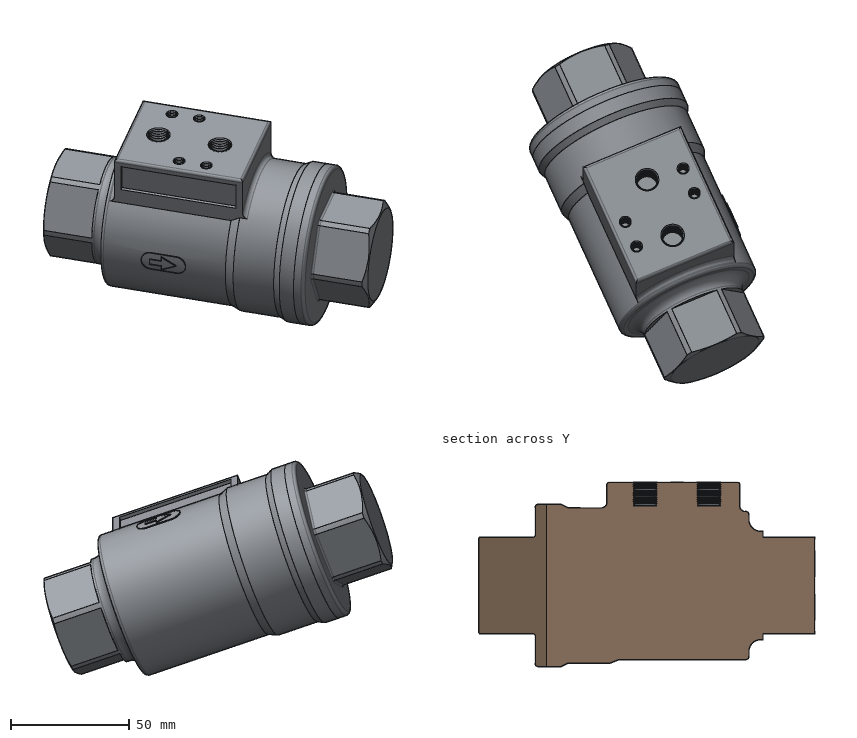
import cadquery as cq
import math

TOTAL_LENGTH = 142.5

HEX_ACROSS_FLATS = 41.0
HEX_CORNER_DIAMETER = 46.0
HEX_CORNER_RADIUS = HEX_CORNER_DIAMETER / 2
INLET_HEX_LENGTH = 22.0
INLET_CHAMFER_LENGTH = 0.9
INLET_END_RADIUS = 20.4
OUTLET_CHAMFER_LENGTH = 1.7
OUTLET_END_RADIUS = 20.0
OUTLET_HEX_FILLET = 0.9

BARREL_RADIUS = 31.5
MIDDLE_RADIUS = 33.0
COLLAR_RADIUS = 34.5
NECK_END_X = 23.0
NECK_FILLET = 5.0
SHOULDER_X = NECK_END_X + NECK_FILLET
EDGE_ROUND = 1.4
BARREL_END_X = 83.1
MIDDLE_START_X = 86.9
MIDDLE_END_X = 104.7
COLLAR_START_X = 107.6
COVER_SEAT_X = 113.9
COVER_FACE_X = 118.5

BLOCK_START_X = 31.8
BLOCK_LENGTH = 56.5
BLOCK_END_X = BLOCK_START_X + BLOCK_LENGTH
BLOCK_CENTER_X = BLOCK_START_X + BLOCK_LENGTH / 2
BLOCK_WIDTH = 45.2
BLOCK_TOP_Z = 43.7
BLOCK_TOP_ROUND = 1.1
BLOCK_ROOT_FILLET = 2.0

LABEL_LENGTH = 50.5
LABEL_HEIGHT = 12.0
LABEL_TOP_GAP = 3.0
LABEL_DEPTH = 1.5

PATTERN_CENTER_X = 58.4
PORT_SPACING = 27.1
PORT_MAJOR_DIAMETER = 10.0
PORT_MINOR_DIAMETER = 8.8
PORT_PITCH = 0.91
PORT_TURNS = 11
SCREW_SPACING = 12.0
SCREW_ROW_Y = 16.0
SCREW_MAJOR_DIAMETER = 5.0
SCREW_MINOR_DIAMETER = 4.0
SCREW_PITCH = 0.8
SCREW_TURNS = 10

PAD_CENTER_X = 55.9
PAD_CENTER_Z = 0.7
PAD_LENGTH = 19.5
PAD_HEIGHT = 8.3
RELIEF_STEP = 0.4
ARROW_START_X = 49.9
ARROW_NECK_X = 55.0
ARROW_TIP_X = 61.5
ARROW_SHAFT_HALF = 1.3
ARROW_HEAD_HALF = 3.3


def turn(profile):
    """Revolve a closed profile, drawn as (X, radius), about the X axis."""
    return profile.close().revolve(360, (0, 0, 0), (1, 0, 0))


def hexagon(start_x, end_x):
    """Hexagonal bar along X with flats on top and bottom and turned-down corners."""
    length = end_x - start_x
    across_corners = HEX_ACROSS_FLATS / math.cos(math.radians(30))
    start = (start_x, 0, 0)
    bar = cq.Workplane("YZ", origin=start).polygon(6, across_corners).extrude(length)
    corner_cylinder = cq.Workplane("YZ", origin=start).circle(HEX_CORNER_RADIUS).extrude(length)
    return bar.intersect(corner_cylinder)


def end_cone(end_x, inward, chamfer_length, end_radius):
    """Envelope that chamfers the hexagon end at end_x; inward is +1 or -1 along X."""
    chamfer_x = end_x + inward * chamfer_length
    far_x = end_x + inward * TOTAL_LENGTH / 2
    envelope_radius = 2 * HEX_CORNER_RADIUS
    slope = (HEX_CORNER_RADIUS - end_radius) / chamfer_length
    cone_x = chamfer_x + inward * (envelope_radius - HEX_CORNER_RADIUS) / slope
    return turn(
        cq.Workplane("XY")
        .moveTo(end_x, 0)
        .lineTo(end_x, end_radius)
        .lineTo(cone_x, envelope_radius)
        .lineTo(far_x, envelope_radius)
        .lineTo(far_x, 0)
    )


def turned_body():
    """Round body from the neck behind the inlet hexagon to the cover seat."""
    arc_45 = math.sqrt(0.5)
    neck_mid = (
        NECK_END_X + NECK_FILLET * arc_45,
        HEX_CORNER_RADIUS + NECK_FILLET * (1 - arc_45),
    )
    shoulder_mid = (
        SHOULDER_X + EDGE_ROUND * (1 - arc_45),
        BARREL_RADIUS - EDGE_ROUND * (1 - arc_45),
    )
    return turn(
        cq.Workplane("XY")
        .moveTo(INLET_HEX_LENGTH, 0)
        .lineTo(INLET_HEX_LENGTH, HEX_CORNER_RADIUS)
        .lineTo(NECK_END_X, HEX_CORNER_RADIUS)
        .threePointArc(neck_mid, (SHOULDER_X, HEX_CORNER_RADIUS + NECK_FILLET))
        .lineTo(SHOULDER_X, BARREL_RADIUS - EDGE_ROUND)
        .threePointArc(shoulder_mid, (SHOULDER_X + EDGE_ROUND, BARREL_RADIUS))
        .lineTo(BARREL_END_X, BARREL_RADIUS)
        .lineTo(MIDDLE_START_X, MIDDLE_RADIUS)
        .lineTo(MIDDLE_END_X, MIDDLE_RADIUS)
        .lineTo(COLLAR_START_X, COLLAR_RADIUS)
        .lineTo(COVER_SEAT_X, COLLAR_RADIUS)
        .lineTo(COVER_SEAT_X, 0)
    )


def root_fillet(wall_x, outward, surface_radius):
    """Concave ring fillet between a block end wall and the round surface below it."""
    r = BLOCK_ROOT_FILLET
    arc_offset = r * (1 - math.sqrt(0.5))
    foot_x = wall_x + outward * r
    ring = turn(
        cq.Workplane("XY")
        .moveTo(wall_x, surface_radius - r)
        .lineTo(wall_x, surface_radius + r)
        .threePointArc(
            (wall_x + outward * arc_offset, surface_radius + arc_offset),
            (foot_x, surface_radius),
        )
        .lineTo(foot_x, surface_radius - r)
    )
    block_slab = cq.Workplane("XY").box(
        2 * TOTAL_LENGTH, BLOCK_WIDTH, BLOCK_TOP_Z, centered=(True, True, False)
    )
    return ring.intersect(block_slab)


def mounting_block():
    """Rectangular block standing on the body axis, with a rounded top rim."""
    block = (
        cq.Workplane("XY", origin=(BLOCK_CENTER_X, 0, 0))
        .rect(BLOCK_LENGTH, BLOCK_WIDTH)
        .extrude(BLOCK_TOP_Z)
        .faces(">Z")
        .edges()
        .fillet(BLOCK_TOP_ROUND)
    )
    block = block.union(root_fillet(BLOCK_START_X, -1, BARREL_RADIUS))
    return block.union(root_fillet(BLOCK_END_X, 1, MIDDLE_RADIUS))


def label_recess():
    """Shallow rectangular pocket in the -Y side of the block."""
    center_z = BLOCK_TOP_Z - LABEL_TOP_GAP - LABEL_HEIGHT / 2
    return cq.Workplane("XY").box(LABEL_LENGTH, 2 * LABEL_DEPTH, LABEL_HEIGHT).translate(
        (BLOCK_CENTER_X, -BLOCK_WIDTH / 2, center_z)
    )


def threaded_hole(x, y, major_diameter, minor_diameter, pitch, turns):
    """Cutter for a blind hole whose thread is a stack of V grooves."""
    major_radius = major_diameter / 2
    minor_radius = minor_diameter / 2
    profile = cq.Workplane("XZ").moveTo(0, 0).lineTo(major_radius, 0)
    for turn_number in range(turns):
        crest_z = -(turn_number + 0.5) * pitch
        root_z = -(turn_number + 1) * pitch
        profile = profile.lineTo(minor_radius, crest_z).lineTo(major_radius, root_z)
    depth = turns * pitch
    cutter = profile.lineTo(0, -depth).close().revolve(360, (0, 0, 0), (0, 1, 0))
    return cutter.translate((x, y, BLOCK_TOP_Z))


def block_holes():
    """Two air ports on the centre line and four screw holes in two staggered rows."""
    holes = []
    for side in (-1, 1):
        port_x = PATTERN_CENTER_X + side * PORT_SPACING / 2
        holes.append(
            threaded_hole(port_x, 0, PORT_MAJOR_DIAMETER, PORT_MINOR_DIAMETER, PORT_PITCH, PORT_TURNS)
        )
        row_y = side * SCREW_ROW_Y
        for screw_x in (PATTERN_CENTER_X, PATTERN_CENTER_X - side * SCREW_SPACING):
            holes.append(
                threaded_hole(
                    screw_x,
                    row_y,
                    SCREW_MAJOR_DIAMETER,
                    SCREW_MINOR_DIAMETER,
                    SCREW_PITCH,
                    SCREW_TURNS,
                )
            )
    return holes


def barrel_relief(outline, height):
    """Raise an outline, drawn on XZ, above the -Y side of the barrel by height."""
    prism = outline.extrude(COLLAR_RADIUS)
    shell = cq.Workplane("YZ").circle(BARREL_RADIUS + height).extrude(BARREL_END_X)
    return prism.intersect(shell)


def flow_arrow():
    """Rounded pad with a raised arrow pointing to the outlet."""
    pad_center = (PAD_CENTER_X, 0, PAD_CENTER_Z)
    pad = cq.Workplane("XZ", origin=pad_center).slot2D(PAD_LENGTH, PAD_HEIGHT)
    arrow = cq.Workplane("XZ", origin=(0, 0, PAD_CENTER_Z)).polyline(
        [
            (ARROW_START_X, -ARROW_SHAFT_HALF),
            (ARROW_NECK_X, -ARROW_SHAFT_HALF),
            (ARROW_NECK_X, -ARROW_HEAD_HALF),
            (ARROW_TIP_X, 0),
            (ARROW_NECK_X, ARROW_HEAD_HALF),
            (ARROW_NECK_X, ARROW_SHAFT_HALF),
            (ARROW_START_X, ARROW_SHAFT_HALF),
        ]
    ).close()
    return barrel_relief(pad, RELIEF_STEP).union(barrel_relief(arrow, 2 * RELIEF_STEP))


def make_housing():
    """Inlet hexagon, round body, mounting block and flow arrow in one solid."""
    inlet_hex = hexagon(0, INLET_HEX_LENGTH).intersect(
        end_cone(0, 1, INLET_CHAMFER_LENGTH, INLET_END_RADIUS)
    )
    housing = turned_body().union(inlet_hex).union(mounting_block()).union(flow_arrow())
    housing = housing.cut(label_recess())
    for hole in block_holes():
        housing = housing.cut(hole)
    return housing


def make_cover():
    """End cover: a round flange on the housing collar and the outlet hexagon."""
    flange = (
        cq.Workplane("YZ", origin=(COVER_SEAT_X, 0, 0))
        .circle(COLLAR_RADIUS)
        .extrude(COVER_FACE_X - COVER_SEAT_X)
        .faces(">X")
        .edges()
        .fillet(EDGE_ROUND)
    )
    outlet_hex = hexagon(COVER_FACE_X, TOTAL_LENGTH).intersect(
        end_cone(TOTAL_LENGTH, -1, OUTLET_CHAMFER_LENGTH, OUTLET_END_RADIUS)
    )
    half_zone = OUTLET_HEX_FILLET / 2
    root_zone = cq.selectors.BoxSelector(
        (COVER_FACE_X - half_zone, -HEX_CORNER_RADIUS, -HEX_CORNER_RADIUS),
        (COVER_FACE_X + half_zone, HEX_CORNER_RADIUS, HEX_CORNER_RADIUS),
        boundingbox=False,
    )
    cover = flange.union(outlet_hex)
    return cover.edges(root_zone).fillet(OUTLET_HEX_FILLET)


housing = make_housing()
cover = make_cover()
result = cq.Compound.makeCompound([housing.solids().val(), cover.solids().val()])